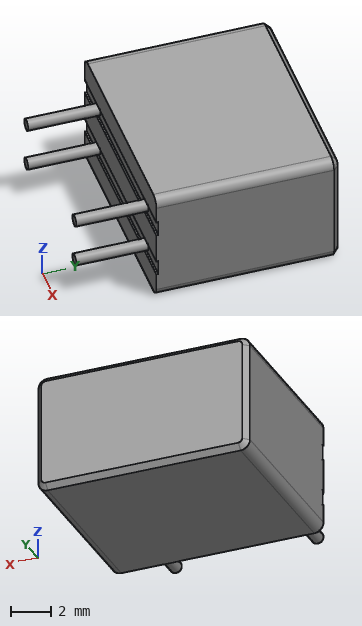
import cadquery as cq

CASE_WIDTH = 11.37
CASE_HEIGHT = 6.3
TOTAL_LENGTH = 13.18
PIN_PROJECTION = 3.65
CASE_LENGTH = TOTAL_LENGTH - PIN_PROJECTION

CORNER_RADIUS = 0.5
BACK_CHAMFER = 0.29

PIN_DIAMETER = 0.63
PIN_SPACING_X = 7.62
PIN_SPACING_Z = 2.55
GROOVE_WIDTH = 0.83
GROOVE_DEPTH = 0.1

ROW_HEIGHTS = (-PIN_SPACING_Z / 2, PIN_SPACING_Z / 2)
COLUMN_PLACES = (-PIN_SPACING_X / 2, PIN_SPACING_X / 2)


def make_case():
    """Block with its front face on Y = 0 and one full-width groove per pin row."""
    case = (
        cq.Workplane("XY")
        .box(CASE_WIDTH, CASE_LENGTH, CASE_HEIGHT, centered=(True, False, True))
        .edges("|Y")
        .fillet(CORNER_RADIUS)
        .faces(">Y")
        .chamfer(BACK_CHAMFER)
    )
    for row_z in ROW_HEIGHTS:
        groove = (
            cq.Workplane("XY")
            .box(CASE_WIDTH, GROOVE_DEPTH, GROOVE_WIDTH, centered=(True, False, True))
            .translate((0, 0, row_z))
        )
        case = case.cut(groove)
    return case


def make_pin(pin_x, pin_z):
    """Round pin standing on the groove floor and pointing toward -Y."""
    return (
        cq.Workplane("XZ", origin=(pin_x, GROOVE_DEPTH, pin_z))
        .circle(PIN_DIAMETER / 2)
        .extrude(GROOVE_DEPTH + PIN_PROJECTION)
    )


case = make_case()
pins = [make_pin(pin_x, pin_z) for pin_x in COLUMN_PLACES for pin_z in ROW_HEIGHTS]

result = cq.Compound.makeCompound([case.val(), *[pin.val() for pin in pins]])